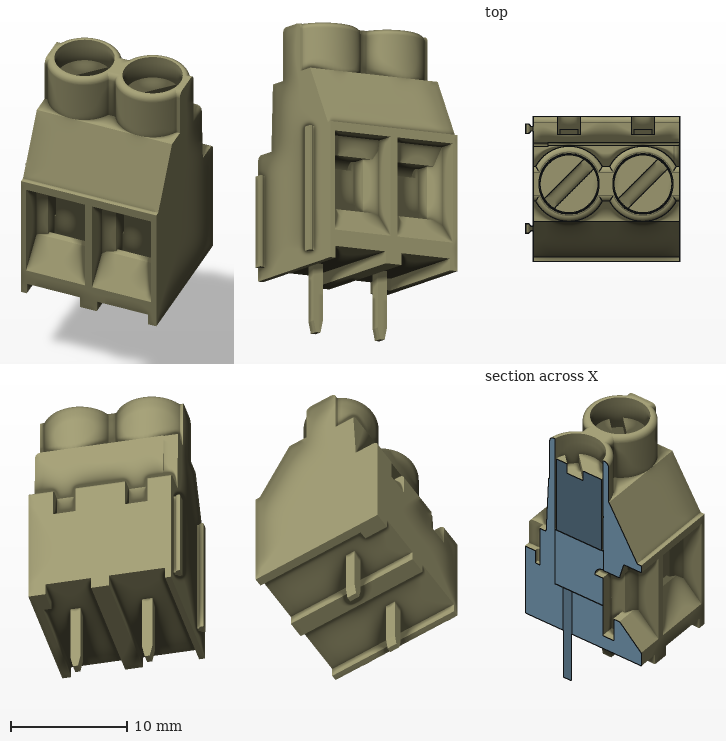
import cadquery as cq


width = 12.65
depth = 12.5
height = 21.5
pole_pitch = 6.35
first_pole_x = 3.1
pole_centres = [first_pole_x, first_pole_x + pole_pitch]

front_step_z = 11.95
front_step_depth = 0.42
front_shelf_z = 17.22
rear_shelf_z = 16.85
rear_step_z = 11.0
rear_step_y = 10.28
edge_round = 0.5

relief_width = 1.27
relief_depth = 0.08

tower_y = 6.7
tower_radius = 3.23
tower_bar = 3.0
bore_radius = 2.6
rear_wall_y = tower_y + tower_radius + relief_depth
front_shelf_y = tower_y - tower_radius

outer_wall = 0.48
divider = 0.65
entry_bottom_z = 2.46
entry_top_z = 11.15
sill_z = 4.8
sill_start_y = 2.33
sill_end_y = 3.0
lintel_z = 9.51
lintel_start_y = 1.9
lintel_end_y = 2.35
passage_width = 3.42
passage_start_y = 2.7
left_flare_y = 2.28
divider_flare_y = 2.15
right_flare_y = 1.9

clamp_width = 3.18
clamp_front_y = 4.13
clamp_rear_y = 2 * tower_y - clamp_front_y
clamp_bottom_z = 5.75
clamp_top_z = 11.65
mouth_width = 2.9
mouth_z = 8.72
mouth_radius = 0.85

screw_radius = 2.5
screw_top_z = 19.37
slot_width = 1.2
slot_depth = 1.03
slot_angle = 45

pin_size = 0.9
pin_y = 7.95
pin_length_below = 5.0
pin_taper_length = 1.0
pin_tip_width = 0.45

foot_height = 1.03
left_foot = 0.53
middle_foot_start = 5.5
middle_foot_end = 7.08
right_foot = 0.77
rear_foot_width = 0.75
rear_foot_depth = depth - rear_step_y

pocket_width = 2.0
pocket_reach = 1.55
pocket_depth = 2.65
recess_width = 1.55
recess_reach = 0.42
recess_depth = 1.32

rib_reach = 0.64
rib_half_width = 0.42
rib_neck_half_width = 0.2
rib_head_x = -0.42
rib_neck_x = -0.2
rib_shoulder_bulge = 0.03
front_rib_y = 2.85
rear_rib_y = 11.45
front_rib_top_z = front_step_z
rear_rib_top_z = 9.04


def box(x_range, y_range, z_range):
    """Box given by its start and end along each axis."""
    lows, highs = zip(x_range, y_range, z_range)
    size = [high - low for low, high in zip(lows, highs)]
    return cq.Workplane("XY").box(*size, centered=False).translate(lows)


def centred_box(x_centre, x_width, y_range, z_range):
    return box((x_centre - x_width / 2, x_centre + x_width / 2), y_range, z_range)


def side_prism(points, x_start, x_end):
    """Outline of (y, z) points extruded along X."""
    return cq.Workplane("YZ", origin=(x_start, 0, 0)).polyline(points).close().extrude(x_end - x_start)


def housing_body():
    lower_points = [
        (0, 0),
        (0, front_step_z),
        (front_step_depth, front_step_z),
        (front_shelf_y, front_shelf_z),
        (tower_y, front_shelf_z),
        (tower_y, rear_shelf_z),
        (rear_wall_y, rear_shelf_z),
        (rear_step_y, rear_step_z),
        (depth, rear_step_z),
        (depth, 0),
    ]
    body = side_prism(lower_points, 0, width)
    body = body.edges(cq.selectors.NearestToPointSelector((width / 2, depth, rear_step_z))).fillet(edge_round)
    shelf_end = (width, (tower_y + rear_wall_y) / 2, rear_shelf_z)
    return body.edges(cq.selectors.NearestToPointSelector(shelf_end)).fillet(edge_round)


def relief():
    points = [
        (rear_wall_y - relief_depth, rear_shelf_z),
        (rear_wall_y, rear_shelf_z),
        (rear_step_y, rear_step_z),
        (rear_step_y - relief_depth, rear_step_z),
    ]
    return side_prism(points, 0, relief_width)


def tower():
    """A round collar per pole joined by a straight bar, with rounded top edges along the sides."""
    z_range = (clamp_top_z, height)
    shape = box((0, width), (tower_y - tower_bar / 2, tower_y + tower_bar / 2), z_range)
    for x in pole_centres:
        collar = cq.Workplane("XY", origin=(x, tower_y, clamp_top_z)).circle(tower_radius)
        shape = shape.union(collar.extrude(height - clamp_top_z))
    envelope = box((0, width), (0, depth), z_range)
    shape = shape.intersect(envelope)
    return shape.faces(">Z").edges("not(<X or >X)").fillet(edge_round)


def screw_bore(x):
    bore = cq.Workplane("XY", origin=(x, tower_y, clamp_top_z)).circle(bore_radius)
    return bore.extrude(height - clamp_top_z)


def wire_entry(x, left_x, left_start_y, right_x, right_start_y):
    """Funnel that narrows from the mouth in the front face to the passage in front of the clamp."""
    passage_left = x - passage_width / 2
    passage_right = x + passage_width / 2
    plan_points = [
        (left_x, 0),
        (left_x, left_start_y),
        (passage_left, passage_start_y),
        (passage_left, clamp_front_y),
        (passage_right, clamp_front_y),
        (passage_right, passage_start_y),
        (right_x, right_start_y),
        (right_x, 0),
    ]
    side_points = [
        (0, entry_bottom_z),
        (sill_start_y, sill_z),
        (sill_end_y, sill_z),
        (sill_end_y, entry_bottom_z),
        (clamp_front_y, entry_bottom_z),
        (clamp_front_y, lintel_z),
        (lintel_end_y, lintel_z),
        (lintel_start_y, entry_top_z),
        (0, entry_top_z),
    ]
    plan = cq.Workplane("XY").polyline(plan_points).close().extrude(height)
    return plan.intersect(side_prism(side_points, 0, width))


def clamp_chamber(x):
    return centred_box(x, passage_width, (clamp_front_y, clamp_rear_y), (clamp_bottom_z, clamp_top_z))


def rear_pocket(x):
    wall_y = depth - pocket_reach
    floor_z = rear_step_z - pocket_depth
    pocket = centred_box(x, pocket_width, (wall_y, depth), (floor_z, rear_step_z))
    recess = centred_box(x, recess_width, (wall_y, wall_y + recess_reach), (floor_z - recess_depth, floor_z))
    return pocket.union(recess)


def underside_notches():
    left = box((left_foot, middle_foot_start), (0, depth), (0, foot_height))
    right_end = width - right_foot
    right = box((middle_foot_end, right_end), (0, depth), (0, foot_height))
    rear_foot = box((right_end - rear_foot_width, right_end), (depth - rear_foot_depth, depth), (0, foot_height))
    return left.union(right.cut(rear_foot))


def coupling_rib(y, top_z):
    """Upright rib with a wide outer head and a narrow neck at the housing."""
    arc_x = (rib_head_x + rib_neck_x) / 2 + rib_shoulder_bulge
    arc_half_width = (rib_half_width + rib_neck_half_width) / 2 + rib_shoulder_bulge
    outline = (
        cq.Workplane("XY", origin=(0, y, foot_height))
        .moveTo(0, -rib_neck_half_width)
        .lineTo(rib_neck_x, -rib_neck_half_width)
        .threePointArc((arc_x, -arc_half_width), (rib_head_x, -rib_half_width))
        .lineTo(-rib_reach, -rib_half_width)
        .lineTo(-rib_reach, rib_half_width)
        .lineTo(rib_head_x, rib_half_width)
        .threePointArc((arc_x, arc_half_width), (rib_neck_x, rib_neck_half_width))
        .lineTo(0, rib_neck_half_width)
        .close()
    )
    return outline.extrude(top_z - foot_height)


def make_pin(x):
    """Square pin from below the housing up to the clamp, tapered in width at its tip."""
    tip_z = -pin_length_below
    half = pin_size / 2
    tip_half = pin_tip_width / 2
    points = [
        (x - tip_half, tip_z),
        (x - half, tip_z + pin_taper_length),
        (x - half, clamp_bottom_z),
        (x + half, clamp_bottom_z),
        (x + half, tip_z + pin_taper_length),
        (x + tip_half, tip_z),
    ]
    front_plane = cq.Workplane("XZ", origin=(0, pin_y + half, 0))
    return front_plane.polyline(points).close().extrude(pin_size)


def make_clamp(x):
    """Block with a quarter-round mouth in its front face."""
    block = centred_box(x, clamp_width, (clamp_front_y, clamp_rear_y), (clamp_bottom_z, clamp_top_z))
    roller = cq.Workplane("YZ", origin=(x - mouth_width / 2, clamp_front_y, mouth_z))
    roller = roller.circle(mouth_radius).extrude(mouth_width)
    upper_half = centred_box(x, mouth_width, (0, depth), (mouth_z, height))
    return block.cut(roller.intersect(upper_half))


def make_screw(x):
    """Plain slotted cylinder that stands on the clamp."""
    shank = cq.Workplane("XY", origin=(x, tower_y, clamp_top_z)).circle(screw_radius)
    shank = shank.extrude(screw_top_z - clamp_top_z)
    slot = cq.Workplane("XY").box(2 * bore_radius, slot_width, slot_depth)
    slot = slot.rotate((0, 0, 0), (0, 0, 1), slot_angle)
    return shank.cut(slot.translate((x, tower_y, screw_top_z - slot_depth / 2)))


def make_housing(pins):
    body = housing_body().union(tower()).cut(relief()).cut(underside_notches())
    body = body.union(coupling_rib(front_rib_y, front_rib_top_z))
    body = body.union(coupling_rib(rear_rib_y, rear_rib_top_z))
    for x, pin in zip(pole_centres, pins):
        body = body.cut(screw_bore(x)).cut(clamp_chamber(x)).cut(rear_pocket(x)).cut(pin)
    divider_left = (width - divider) / 2
    divider_right = (width + divider) / 2
    left_pole, right_pole = pole_centres
    left_entry = wire_entry(left_pole, outer_wall, left_flare_y, divider_left, divider_flare_y)
    right_entry = wire_entry(right_pole, divider_right, divider_flare_y, width - outer_wall, right_flare_y)
    return body.cut(left_entry).cut(right_entry)


pins = [make_pin(x) for x in pole_centres]
clamps = [make_clamp(x) for x in pole_centres]
screws = [make_screw(x) for x in pole_centres]
housing = make_housing(pins)
bodies = [housing, *pins, *clamps, *screws]
result = cq.Compound.makeCompound([body.val() for body in bodies])